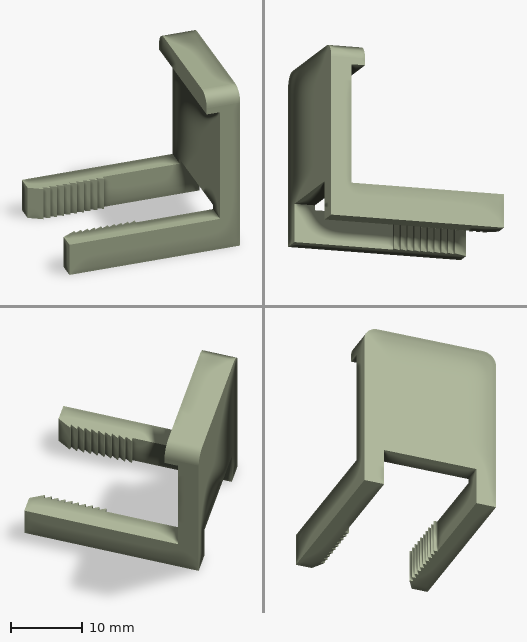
import math

import cadquery as cq

WIDTH = 20.0
DEPTH = 25.5
HEIGHT = 25.0

WALL_THICKNESS = 3.0
LIP_DEPTH = 5.0
LIP_HEIGHT = 3.0
CORNER_RADIUS = 2.0

LEG_WIDTH = 3.0
LEG_HEIGHT = 4.85
LEG_GAP = WIDTH - 2 * LEG_WIDTH
NOTCH_HEIGHT = 5.55

TOOTH_COUNT = 9
TOOTH_PITCH = 1.0
TOOTH_SLOPE = math.radians(30)
TOOTH_HEIGHT = TOOTH_PITCH * math.tan(TOOTH_SLOPE)
NOSE_LENGTH = 2.0
NOSE_TAPER = NOSE_LENGTH * math.tan(TOOTH_SLOPE)


def make_wall():
    """Wall and lip from one side profile, with the two top corners rounded."""
    profile = [
        (0, 0),
        (0, HEIGHT),
        (-LIP_DEPTH, HEIGHT),
        (-LIP_DEPTH, HEIGHT - LIP_HEIGHT),
        (-WALL_THICKNESS, HEIGHT - LIP_HEIGHT),
        (-WALL_THICKNESS, 0),
    ]
    wall = cq.Workplane("YZ").polyline(profile).close().extrude(WIDTH / 2, both=True)
    wall = wall.edges("|Y and >Z").fillet(CORNER_RADIUS)
    notch = cq.Workplane("XY").box(LEG_GAP, 2 * WALL_THICKNESS, 2 * NOTCH_HEIGHT)
    return wall.cut(notch)


def make_left_leg():
    """Leg on the -X side: plan outline with saw teeth on the inner edge."""
    outer_x = -WIDTH / 2
    root_x = outer_x + LEG_WIDTH
    tip_x = root_x + TOOTH_HEIGHT
    nose_start_y = -DEPTH + NOSE_LENGTH
    teeth_start_y = nose_start_y + TOOTH_COUNT * TOOTH_PITCH

    outline = [(outer_x, -DEPTH), (outer_x, 0), (root_x, 0)]
    for index in range(TOOTH_COUNT + 1):
        step_y = teeth_start_y - index * TOOTH_PITCH
        outline.append((root_x, step_y))
        outline.append((tip_x, step_y))
    outline.append((tip_x - NOSE_TAPER, -DEPTH))
    return cq.Workplane("XY").polyline(outline).close().extrude(LEG_HEIGHT)


left_leg = make_left_leg()
right_leg = left_leg.mirror("YZ")
result = make_wall().union(left_leg).union(right_leg)